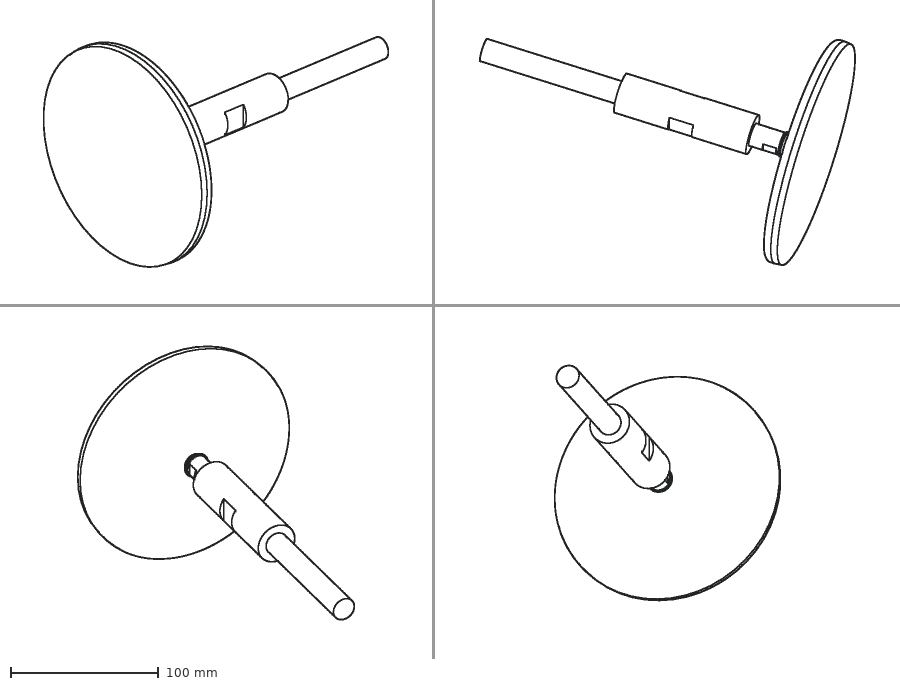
import cadquery as cq


PAD_DIAMETER = 158.0
PAD_RADIUS = PAD_DIAMETER / 2
PAD_HEIGHT = 4.5
PAD_TAPER = 0.5

RIM_TOP = 10.0
CONE_TOP = 21.5
RIM_FILLET = 3.0
RIDGE_RADIUS = 8.8
RIDGE_BOTTOM = 23.2
RIDGE_TOP = 23.7

OVERALL_LENGTH = 239.0
ROD_RADIUS = 16.0 / 2
NECK_RADIUS = 6.5
SPINDLE_BOTTOM = 24.9
BARREL_RADIUS = 28.0 / 2
BARREL_BOTTOM = 45.6
BARREL_TOP = 140.5

ROD_FLATS_WIDTH = 13.5
ROD_FLATS_BOTTOM = 26.3
ROD_FLATS_HEIGHT = 9.5
BARREL_FLATS_WIDTH = 22.0
BARREL_FLATS_HEIGHT = 17.2
BARREL_FLATS_BOTTOM = (BARREL_BOTTOM + BARREL_TOP - BARREL_FLATS_HEIGHT) / 2


def cylinder(radius, bottom, top):
    """Solid cylinder around the Y axis between two heights."""
    return cq.Workplane("XZ", origin=(0, bottom, 0)).circle(radius).extrude(bottom - top)


def cut_flats(body, radius, width, bottom, height):
    """Cut two parallel flats, the given width apart, into a round body."""
    stock = cylinder(radius, bottom, bottom + height)
    core = cq.Workplane("XY").box(width, height, 2 * radius).translate((0, bottom + height / 2, 0))
    return body.cut(stock.cut(core))


def make_pad():
    """Flat disc that narrows slightly toward the floor."""
    profile = (
        cq.Workplane("XY")
        .lineTo(PAD_RADIUS - PAD_TAPER, 0)
        .lineTo(PAD_RADIUS, PAD_HEIGHT)
        .lineTo(0, PAD_HEIGHT)
        .close()
    )
    return profile.revolve(360, (0, 0, 0), (0, 1, 0))


def make_foot():
    """Cone with a rounded rim and a ridged collar at the top."""
    profile = (
        cq.Workplane("XY")
        .moveTo(0, PAD_HEIGHT)
        .lineTo(PAD_RADIUS, PAD_HEIGHT)
        .lineTo(PAD_RADIUS, RIM_TOP)
        .lineTo(ROD_RADIUS, CONE_TOP)
        .lineTo(0, CONE_TOP)
        .close()
    )
    cone = profile.revolve(360, (0, 0, 0), (0, 1, 0))
    rim_edge = cq.selectors.NearestToPointSelector((0, RIM_TOP, 0))
    cone = cone.edges(rim_edge).fillet(RIM_FILLET)
    collar = cylinder(ROD_RADIUS, CONE_TOP, RIDGE_BOTTOM)
    ridge = cylinder(RIDGE_RADIUS, RIDGE_BOTTOM, RIDGE_TOP)
    return cone.union(collar).union(ridge)


def make_spindle():
    """Rod with a thicker barrel, a thin neck and two pairs of wrench flats."""
    spindle = (
        cylinder(ROD_RADIUS, SPINDLE_BOTTOM, OVERALL_LENGTH)
        .union(cylinder(BARREL_RADIUS, BARREL_BOTTOM, BARREL_TOP))
        .union(cylinder(NECK_RADIUS, RIDGE_TOP, SPINDLE_BOTTOM))
    )
    spindle = cut_flats(spindle, ROD_RADIUS, ROD_FLATS_WIDTH, ROD_FLATS_BOTTOM, ROD_FLATS_HEIGHT)
    return cut_flats(
        spindle, BARREL_RADIUS, BARREL_FLATS_WIDTH, BARREL_FLATS_BOTTOM, BARREL_FLATS_HEIGHT
    )


pad = make_pad()
foot = make_foot()
spindle = make_spindle()

result = cq.Compound.makeCompound([pad.val(), foot.val(), spindle.val()])